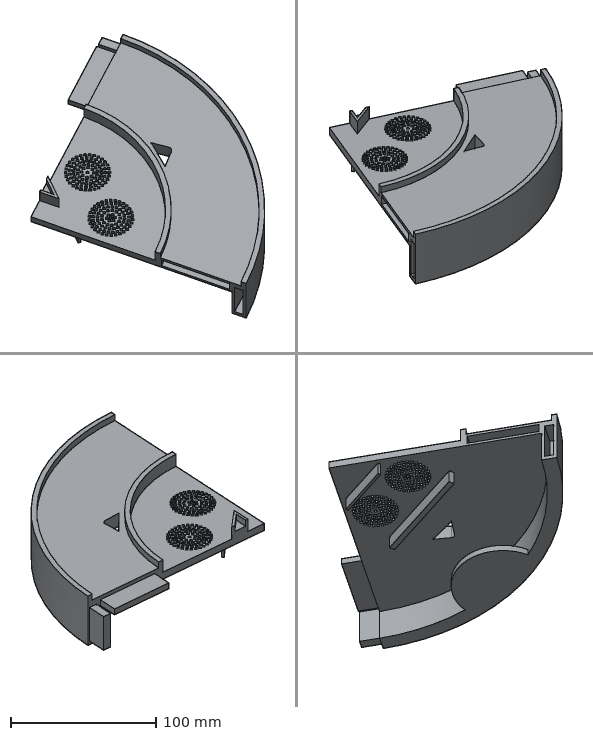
import cadquery as cq
import math


outer_radius = 161.6
total_height = 41.0
side_trim = 1.0

deck_top = total_height - 5.0
floor_top = total_height - 10.0
underside = 25.0

rim_wall = 3.9
skirt_wall = 10.8
ring_outer_radius = 97.2
rim_inner_radius = outer_radius - rim_wall
ring_inner_radius = ring_outer_radius - rim_wall
skirt_inner_radius = outer_radius - skirt_wall

tongue_length = 15.0
socket_clearance = 0.9
socket_depth = tongue_length + socket_clearance
flat_tongue_y = (100.9, 150.3)
flat_tongue_z = (28.0, 33.0)
upright_tongue_y = (153.9, 160.2)
upright_tongue_z = (3.0, 31.0)
flat_socket_x = (98.0, 148.9)
flat_socket_z = (27.2, 33.7)
upright_socket_x = (153.0, 159.3)
upright_socket_z = (3.0, 31.5)

pocket_y = 16.0
pocket_leg = 14.7
pocket_wall = 2.0

hole_diameter = 2.0
disc_a_centre = (21.0, 51.0)
disc_b_centre = (51.0, 22.0)
disc_a_rings = [(4.2, 8, 18), (6.9, 14, 6), (9.7, 23, 6.5), (12.4, 23, 6.5), (15.0, 30, 0)]
disc_b_rings = [(2.8, 6, 30), (6.4, 13, 22), (9.4, 20, 0), (12.4, 25, 11.5), (14.8, 30, 6)]

under_wall_height = 10.0
near_wall_start = (4.2, 34.0)
near_wall_end = (34.3, 3.9)
near_wall_thickness = 2.0
far_wall_start = (24.4, 78.8)
far_wall_end = (80.0, 23.1)
far_wall_thickness = 4.0

window_corner = (68.4, 89.7)
window_ring_points = [(52.8, 88.1), (69.5, 73.7)]
window_fillet = 2.6

foot_centre = (95.2, 119.0)
foot_radius = 35.9
foot_height = 5.0


def block(x_range, y_range, z_range):
    """Box between the given limits."""
    return cq.Workplane("XY").box(
        x_range[1] - x_range[0],
        y_range[1] - y_range[0],
        z_range[1] - z_range[0],
        centered=False,
    ).translate((x_range[0], y_range[0], z_range[0]))


def prism(points, bottom, top):
    """Upright prism with the given outline."""
    return cq.Workplane("XY").workplane(offset=bottom).polyline(points).close().extrude(top - bottom)


def make_tray():
    """Quarter turn of the tray's cross-section, trimmed on the -Y side."""
    section = [
        (0, underside),
        (skirt_inner_radius, underside),
        (skirt_inner_radius, 0),
        (outer_radius, 0),
        (outer_radius, total_height),
        (rim_inner_radius, total_height),
        (rim_inner_radius, deck_top),
        (ring_outer_radius, deck_top),
        (ring_outer_radius, total_height),
        (ring_inner_radius, total_height),
        (ring_inner_radius, floor_top),
        (0, floor_top),
    ]
    turned = cq.Workplane("XZ").polyline(section).close().revolve(90, (0, 0), (0, 1))
    return turned.intersect(
        block((0, outer_radius), (side_trim, outer_radius), (0, total_height))
    )


def make_foot():
    """Low disc standing out from the inside of the skirt."""
    disc = cq.Workplane("XY").center(*foot_centre).circle(foot_radius).extrude(foot_height)
    limit = cq.Workplane("XY").circle(outer_radius).extrude(foot_height)
    return disc.intersect(limit)


def make_diagonal_wall(start, end, thickness):
    """Wall hanging from the floor; its thickness lies on the far side from the tray corner."""
    shift = thickness / math.sqrt(2)
    outline = [
        start,
        end,
        (end[0] + shift, end[1] + shift),
        (start[0] + shift, start[1] + shift),
    ]
    return prism(outline, underside - under_wall_height, underside)


def right_triangle(corner_y, leg):
    """Outline with its square corner on the -X side of the tray."""
    return [(0, corner_y), (leg, corner_y), (0, corner_y + leg)]


def make_pocket():
    """Triangular block with a pocket open to the top and to -X."""
    inner_leg = pocket_leg - pocket_wall * (1 + math.sqrt(2))
    body = prism(right_triangle(pocket_y, pocket_leg), floor_top, total_height)
    hollow = prism(right_triangle(pocket_y + pocket_wall, inner_leg), deck_top, total_height)
    return body.cut(hollow)


def make_perforation(centre, rings):
    """Hole cutters: one in the middle and evenly spaced rings around it."""
    points = [centre]
    for radius, count, first_angle in rings:
        for i in range(count):
            angle = math.radians(first_angle + 360 * i / count)
            points.append((
                centre[0] + radius * math.cos(angle),
                centre[1] + radius * math.sin(angle),
            ))
    plane = cq.Workplane("XY").workplane(offset=underside)
    return plane.pushPoints(points).circle(hole_diameter / 2).extrude(floor_top - underside)


def make_window():
    """Triangular cutter through the deck, rounded at its outer corner."""
    cutter = prism([window_corner] + window_ring_points, underside, deck_top)
    corner_edge = cq.selectors.NearestToPointSelector((*window_corner, (underside + deck_top) / 2))
    return cutter.edges("|Z").edges(corner_edge).fillet(window_fillet)


tongue_x = (-tongue_length, 0)
socket_y = (side_trim, side_trim + socket_depth)

result = (
    make_tray()
    .union(make_foot())
    .union(make_diagonal_wall(near_wall_start, near_wall_end, near_wall_thickness))
    .union(make_diagonal_wall(far_wall_start, far_wall_end, far_wall_thickness))
    .union(make_pocket())
    .union(block(tongue_x, flat_tongue_y, flat_tongue_z))
    .union(block(tongue_x, upright_tongue_y, upright_tongue_z))
    .cut(block(flat_socket_x, socket_y, flat_socket_z))
    .cut(block(upright_socket_x, socket_y, upright_socket_z))
    .cut(make_window())
    .cut(make_perforation(disc_a_centre, disc_a_rings))
    .cut(make_perforation(disc_b_centre, disc_b_rings))
)